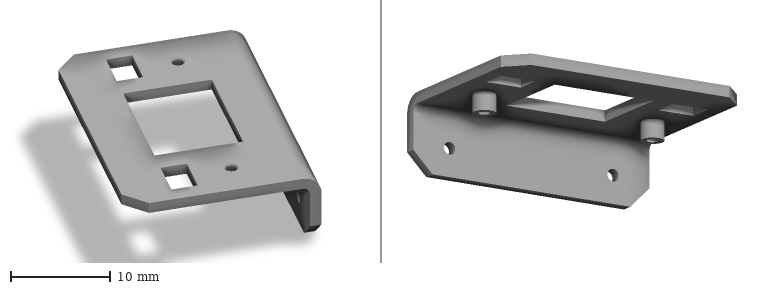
import cadquery as cq

width = 27.95
depth = 20.3
height = 8.13
thickness = 1.2
bend_radius = 1.98
corner_cut = 2.25

openings_front_y = -15.2
window_width = 11.65
window_length = 9.28
slot_width = 4.05
slot_length = 2.75
slot_side_margin = 1.75
slot_x = width / 2 - slot_side_margin - slot_width / 2

flange_hole_diameter = 1.3
flange_hole_x = width / 2 - 4.3
flange_hole_z = -5.1

standoff_x = width / 2 - 4.02
standoff_y = -8.33
standoff_length = 3.15
head_diameter = 3.15
barrel_diameter = 2.43
bore_diameter = 1.17
bore_chamfer = 0.17

sides = (-1, 1)


def bent_sheet():
    """Plate and rear flange joined by a bend, extruded across the width."""
    return (
        cq.Workplane("YZ")
        .moveTo(-depth, 0)
        .lineTo(-bend_radius, 0)
        .radiusArc((0, -bend_radius), bend_radius)
        .lineTo(0, -height)
        .lineTo(-thickness, -height)
        .lineTo(-thickness, -bend_radius)
        .radiusArc((-bend_radius, -thickness), -(bend_radius - thickness))
        .lineTo(-depth, -thickness)
        .close()
        .extrude(width / 2, both=True)
    )


def plate_opening(center_x, size_x, size_y):
    """Cutter for a rectangular opening through the plate."""
    return (
        cq.Workplane("XY")
        .center(center_x, openings_front_y + size_y / 2)
        .rect(size_x, size_y)
        .extrude(-thickness)
    )


def make_bracket():
    bracket = bent_sheet()
    bracket = bracket.edges("|Z and <Y").chamfer(corner_cut)
    bracket = bracket.edges("|Y and <Z").chamfer(corner_cut)

    bracket = bracket.cut(plate_opening(0, window_width, window_length))
    for side in sides:
        bracket = bracket.cut(plate_opening(side * slot_x, slot_width, slot_length))

    flange_holes = (
        cq.Workplane("XZ")
        .pushPoints([(side * flange_hole_x, flange_hole_z) for side in sides])
        .circle(flange_hole_diameter / 2)
        .extrude(thickness)
    )
    standoff_holes = (
        cq.Workplane("XY")
        .pushPoints([(side * standoff_x, standoff_y) for side in sides])
        .circle(head_diameter / 2)
        .extrude(-thickness)
    )
    return bracket.cut(flange_holes).cut(standoff_holes)


def make_standoff(center_x):
    """Headed standoff with a through bore, chamfered at the top."""
    base = cq.Workplane("XY").center(center_x, standoff_y)
    head = base.circle(head_diameter / 2).extrude(-thickness)
    barrel = base.circle(barrel_diameter / 2).extrude(-standoff_length)
    bore = base.circle(bore_diameter / 2).extrude(-standoff_length)
    standoff = head.union(barrel).cut(bore)
    return standoff.faces(">Z").edges(cq.selectors.RadiusNthSelector(0)).chamfer(bore_chamfer)


bracket = make_bracket()
standoffs = [make_standoff(side * standoff_x) for side in sides]

result = cq.Compound.makeCompound([bracket.val(), *[standoff.val() for standoff in standoffs]])